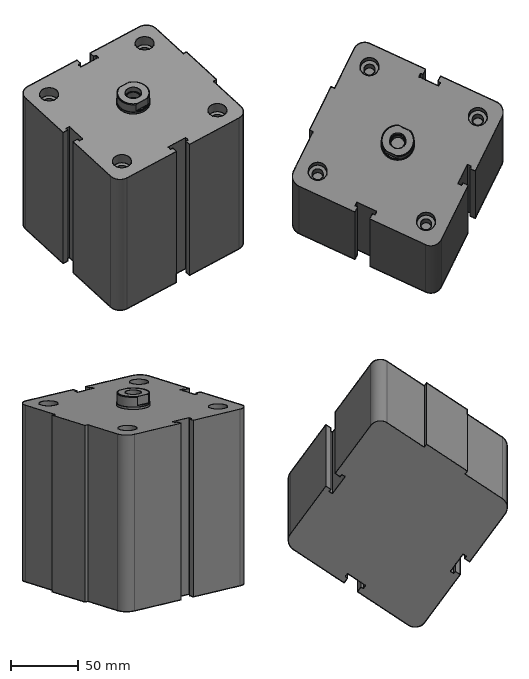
import cadquery as cq

BLOCK_SIDE = 122.0
OVERALL_DEPTH = 125.0
OVERALL_HEIGHT = 146.5
ROD_PROJECTION = 9.8
HOUSING_HEIGHT = OVERALL_HEIGHT - ROD_PROJECTION
CORNER_RADIUS = 8.8
HALF_SIDE = BLOCK_SIDE / 2

RAIL_WIDTH = 37.0
RAIL_HEIGHT = OVERALL_DEPTH - BLOCK_SIDE

SLOT_MOUTH_WIDTH = 12.2
SLOT_HEAD_WIDTH = 16.4
SLOT_DEPTH = 7.5
SLOT_LIP = 4.5
SLOT_ANGLES = (-90, 0, 90)

MOUNT_SPACING = 89.4
MOUNT_HOLE_DIAMETER = 8.4
MOUNT_BORE_DIAMETER = 14.0
MOUNT_BORE_DEPTH = 8.5
MOUNT_HOLE_DEPTH = 19.3

ROD_DIAMETER = 24.5
ROD_CHAMFER = 0.6
COLLAR_DIAMETER = 25.0
COLLAR_HEIGHT = 1.8
FLAT_SPACING = 21.8
FLAT_HEIGHT = 6.9

SOCKET_DIAMETER = 10.3
SOCKET_MOUTH_DIAMETER = 12.0
SOCKET_MOUTH_DEPTH = 4.4


def t_slot(angle):
    """Full-height T-slot, made on the front face and turned about the rod axis."""
    head_depth = SLOT_DEPTH - SLOT_LIP
    mouth = (
        cq.Workplane("XY")
        .center(0, -HALF_SIDE + SLOT_DEPTH / 2)
        .rect(SLOT_MOUTH_WIDTH, SLOT_DEPTH)
        .extrude(HOUSING_HEIGHT)
    )
    head = (
        cq.Workplane("XY")
        .center(0, -HALF_SIDE + SLOT_LIP + head_depth / 2)
        .rect(SLOT_HEAD_WIDTH, head_depth)
        .extrude(HOUSING_HEIGHT)
    )
    return mouth.union(head).rotate((0, 0, 0), (0, 0, 1), angle)


def make_housing():
    """Square block with a back rail, three T-slots and four mounting holes."""
    block = (
        cq.Workplane("XY")
        .rect(BLOCK_SIDE, BLOCK_SIDE)
        .extrude(HOUSING_HEIGHT)
        .edges("|Z")
        .fillet(CORNER_RADIUS)
    )
    rail_length = HALF_SIDE + RAIL_HEIGHT
    rail = (
        cq.Workplane("XY")
        .center(0, rail_length / 2)
        .rect(RAIL_WIDTH, rail_length)
        .extrude(HOUSING_HEIGHT)
    )
    housing = block.union(rail)
    for angle in SLOT_ANGLES:
        housing = housing.cut(t_slot(angle))
    return (
        housing.faces(">Z")
        .workplane(origin=(0, 0, HOUSING_HEIGHT))
        .rect(MOUNT_SPACING, MOUNT_SPACING, forConstruction=True)
        .vertices()
        .cboreHole(
            MOUNT_HOLE_DIAMETER,
            MOUNT_BORE_DIAMETER,
            MOUNT_BORE_DEPTH,
            MOUNT_HOLE_DEPTH,
        )
    )


def make_rod():
    """Rod end standing on the housing, with a collar, two flats and a stepped socket."""
    rod = (
        cq.Workplane("XY")
        .workplane(offset=HOUSING_HEIGHT)
        .circle(ROD_DIAMETER / 2)
        .extrude(ROD_PROJECTION)
        .faces(">Z")
        .chamfer(ROD_CHAMFER)
    )
    collar = (
        cq.Workplane("XY")
        .workplane(offset=HOUSING_HEIGHT)
        .circle(COLLAR_DIAMETER / 2)
        .extrude(COLLAR_HEIGHT)
    )
    rod = rod.union(collar)

    for side in (-1, 1):
        flat_cutter = (
            cq.Workplane("XY")
            .workplane(offset=OVERALL_HEIGHT - FLAT_HEIGHT)
            .center(side * (FLAT_SPACING + ROD_DIAMETER) / 2, 0)
            .rect(ROD_DIAMETER, ROD_DIAMETER)
            .extrude(FLAT_HEIGHT)
        )
        rod = rod.cut(flat_cutter)

    return (
        rod.faces(">Z")
        .workplane(origin=(0, 0, OVERALL_HEIGHT))
        .cboreHole(SOCKET_DIAMETER, SOCKET_MOUTH_DIAMETER, SOCKET_MOUTH_DEPTH)
    )


housing = make_housing()
piston_rod = make_rod()

result = cq.Compound.makeCompound([housing.val(), piston_rod.val()])